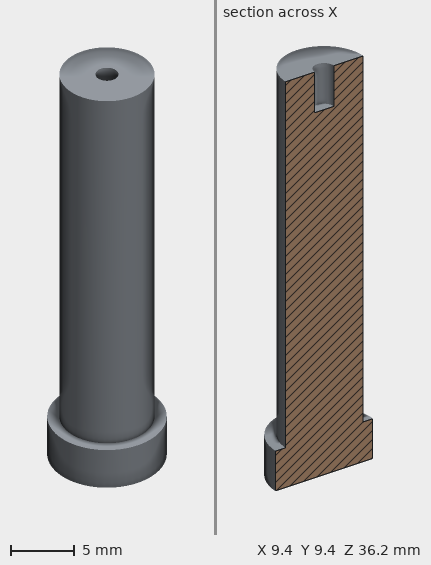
import cadquery as cq

total_height = 36.2
head_diameter = 9.4
head_height = 3.6
shank_diameter = 7.5
hole_diameter = 1.8
hole_depth = 3.62

head = cq.Workplane("XY").circle(head_diameter / 2).extrude(head_height)

shank = cq.Workplane("XY").circle(shank_diameter / 2).extrude(total_height)

hole = (
    cq.Workplane("XY")
    .workplane(offset=total_height - hole_depth)
    .circle(hole_diameter / 2)
    .extrude(hole_depth)
)

result = head.union(shank).cut(hole)